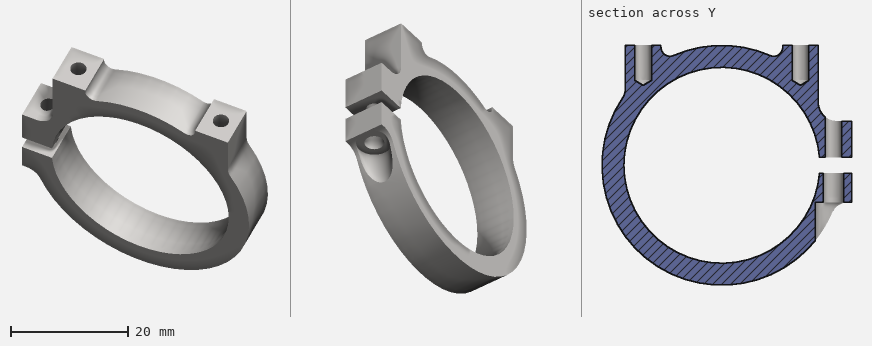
import cadquery as cq
import math

outer_radius = 20.505
inner_radius = 16.68
width = 7.6
overall_length = 42.75

ear_end_x = outer_radius - overall_length
slit_height = 2.6
upper_ear_top = 7.55
lower_ear_bottom = -6.33

block_outer_x = 16.5
block_width = 6.15
block_inner_x = block_outer_x - block_width

blend_radius = 3.0
upper_ear_blend_radius = 3.12
notch_radius = 1.5

screw_x = -19.05
thread_diameter = 2.8
clearance_diameter = 3.4
screw_head_diameter = 6.25

mount_hole_x = 13.43
mount_hole_depth = 6.0
drill_tip_angle = 118.0


def ring_blend(center_x, center_z, radius):
    """Return the point where a blend with the given centre meets the ring."""
    to_ring = outer_radius / (outer_radius + radius)
    return center_x * to_ring, center_z * to_ring


def blend_offset(center, radius):
    """Return the other coordinate of a blend centre that touches the ring from outside."""
    return math.sqrt((outer_radius + radius) ** 2 - center**2)


def arc_middle(center, start, end, radius):
    """Return the middle point of the short arc between two points around a centre."""
    along_x = start[0] + end[0] - 2 * center[0]
    along_z = start[1] + end[1] - 2 * center[1]
    reach = radius / math.hypot(along_x, along_z)
    return center[0] + along_x * reach, center[1] + along_z * reach


def make_body():
    """Extrude the outline of ring, ears and blocks, symmetric about Y = 0."""
    notch_x = block_inner_x - notch_radius
    notch_center = (notch_x, blend_offset(notch_x, notch_radius))
    notch_wall = (block_inner_x, notch_center[1])
    notch_end = ring_blend(*notch_center, notch_radius)
    notch_middle = arc_middle(notch_center, notch_wall, notch_end, notch_radius)

    side_x = block_outer_x + blend_radius
    side_center = (side_x, blend_offset(side_x, blend_radius))
    side_wall = (block_outer_x, side_center[1])
    side_end = ring_blend(*side_center, blend_radius)
    side_middle = arc_middle(side_center, side_wall, side_end, blend_radius)

    ear_z = lower_ear_bottom - blend_radius
    ear_center = (-blend_offset(ear_z, blend_radius), ear_z)
    ear_start = (ear_center[0], lower_ear_bottom)
    ear_end = ring_blend(*ear_center, blend_radius)
    ear_middle = arc_middle(ear_center, ear_start, ear_end, blend_radius)

    ring_lower_middle = (outer_radius * math.sqrt(0.5), -outer_radius * math.sqrt(0.5))
    upper_blend = upper_ear_blend_radius

    outline = (
        cq.Workplane("XZ", origin=(0, width / 2, 0))
        .moveTo(ear_end_x, lower_ear_bottom)
        .lineTo(ear_end_x, upper_ear_top)
        .lineTo(-block_outer_x - upper_blend, upper_ear_top)
        .radiusArc((-block_outer_x, upper_ear_top + upper_blend), -upper_blend)
        .lineTo(-block_outer_x, outer_radius)
        .lineTo(-block_inner_x, outer_radius)
        .lineTo(-notch_wall[0], notch_wall[1])
        .threePointArc((-notch_middle[0], notch_middle[1]), (-notch_end[0], notch_end[1]))
        .threePointArc((0, outer_radius), notch_end)
        .threePointArc(notch_middle, notch_wall)
        .lineTo(block_inner_x, outer_radius)
        .lineTo(block_outer_x, outer_radius)
        .lineTo(*side_wall)
        .threePointArc(side_middle, side_end)
        .threePointArc(ring_lower_middle, ear_end)
        .threePointArc(ear_middle, ear_start)
        .close()
    )
    return outline.extrude(width)


def vertical_cylinder(x, bottom, top, diameter):
    """Return a cylinder along Z on the mid-plane of the part."""
    return cq.Workplane("XY", origin=(x, 0, bottom)).circle(diameter / 2).extrude(top - bottom)


def cut_bore_and_slit(body):
    """Open the ring bore and split the two clamp ears."""
    bore = cq.Workplane("XZ", origin=(0, width, 0)).circle(inner_radius).extrude(2 * width)
    slit = cq.Workplane("XY").box(-ear_end_x, width, slit_height).translate((ear_end_x / 2, 0, 0))
    return body.cut(bore).cut(slit)


def cut_clamp_screw(body):
    """Cut the threaded upper hole, the lower clearance hole and the screw head relief."""
    thread = vertical_cylinder(screw_x, 0, outer_radius, thread_diameter)
    clearance = vertical_cylinder(screw_x, lower_ear_bottom, 0, clearance_diameter)
    head_relief = vertical_cylinder(screw_x, -outer_radius, lower_ear_bottom, screw_head_diameter)
    return body.cut(thread).cut(clearance).cut(head_relief)


def cut_mount_holes(body):
    """Drill a blind hole with a conical tip into the top of each block."""
    radius = thread_diameter / 2
    tip_depth = radius / math.tan(math.radians(drill_tip_angle / 2))
    shoulder_z = outer_radius - mount_hole_depth
    drill = (
        cq.Workplane("XZ")
        .moveTo(0, outer_radius)
        .lineTo(radius, outer_radius)
        .lineTo(radius, shoulder_z)
        .lineTo(0, shoulder_z - tip_depth)
        .close()
        .revolve(360, (0, 0, 0), (0, 1, 0))
    )
    for x in (-mount_hole_x, mount_hole_x):
        body = body.cut(drill.translate((x, 0, 0)))
    return body


result = cut_mount_holes(cut_clamp_screw(cut_bore_and_slit(make_body())))